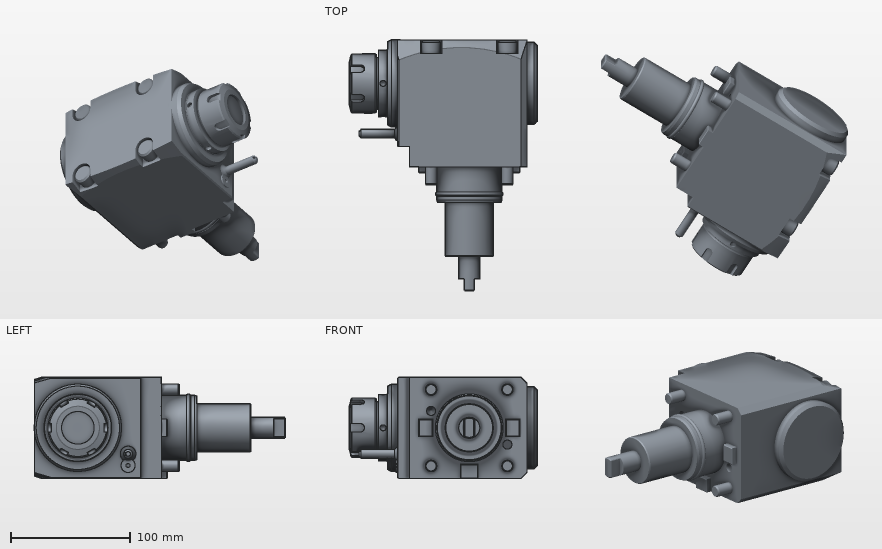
import cadquery as cq


overlap = 2.0

half_height = 42.5
block_left = -60.0
block_right = 48.5
block_back = 106.3
step_x = -50.0
step_y = 16.8
right_chamfer = 5.0
left_chamfer = 1.0
step_chamfer = 0.5
relief_center_x = -7.0
relief_radius = 134.0
relief_apex_y = 100.0
relief_slope = 0.31

axis_y = 69.9
flange_radius = 36.6
flange_front = -68.5
flange_bevel_x = 3.2
flange_bevel_r = 1.7
lip_radius = 28.5
lip_height = 0.6
cap_radius = 34.5
cap_end = 57.0
cap_chamfer = 2.7

collar_radius = 28.0
collar_front = -76.2
collar_back = flange_front - lip_height
neck_radius = 21.9
nut_radius = 25.0
nut_back = -77.9
nut_front = -100.6
nut_back_chamfer_x = 1.3
nut_back_chamfer_r = 0.8
nut_edge_chamfer = 1.0
nut_cone_length = 1.5
nut_face_radius = 18.0
recess_radius = 13.7
recess_depth = 2.5
wrench_slot_count = 6
wrench_slot_width = 7.2
wrench_slot_end = -87.8
wrench_slot_floor = 21.9
pin_hole_count = 4
pin_hole_radius = 2.5
pin_hole_x = -72.2
pin_hole_depth = 3.2
pin_hole_tip = 1.3

pilot_radius = 27.4
pilot_end = -29.9
pilot_chamfer_y = 1.9
groove_start = -21.0
groove_end = -24.8
groove_radius = 25.7
ring_section_radius = 1.7
ring_center_radius = 26.7
shank_radius = 20.2
shank_end = -75.4
shank_chamfer_y = 1.0
edge_chamfer = 0.6
drive_radius = 8.8
drive_end = -93.9
tang_end = -104.0
tang_thickness = 8.6
tang_end_chamfer = 0.8
tang_side_chamfer = 0.5
tang_root_ramp = 0.6

screw_offset = 32.0
screw_radius = 4.8
screw_end = -15.2
screw_chamfer_y = 1.3
head_radius = 8.0
head_end = 105.5
head_chamfer = 1.5
head_seat_y = 95.0
head_slot_width = 18.0

key_width = 14.7
key_length = 12.0
key_height = 5.0
key_side_start = 30.5
key_chamfer = 0.6

locating_hole_radius = 3.8
locating_hole_z = 14.0
locating_hole_depth = 8.5
locating_hole_tip = 3.5

nozzle_y = 27.8
nozzle_z = -21.9
nozzle_radius = 3.8
nozzle_tip = -92.5
nozzle_tip_radius = 1.9
nozzle_base_radius = 6.5
nozzle_base_length = 2.5
spray_hole_radius = 1.3
spray_hole_depth = 3.2
plug_z = -31.5
plug_radius = 5.9
plug_height = 1.3
plug_socket_diameter = 3.5


def turned_along_x(profile, y=axis_y, z=0):
    """Solid of revolution about a line along X; the profile is a list of (x, radius)."""
    points = [(profile[0][0], 0)] + profile + [(profile[-1][0], 0)]
    outline = cq.Workplane("XY").polyline(points).close()
    return outline.revolve(360, (0, 0, 0), (1, 0, 0)).translate((0, y, z))


def turned_along_y(profile, x=0, z=0):
    """Solid of revolution about a line along Y; the profile is a list of (radius, y)."""
    points = [(0, profile[0][1])] + profile + [(0, profile[-1][1])]
    outline = cq.Workplane("XY").polyline(points).close()
    return outline.revolve(360, (0, 0, 0), (0, 1, 0)).translate((x, 0, z))


def drilled_along_y(radius, depth, tip):
    """Drill shape entering Y = 0 in the +Y direction, ending in a cone of the given length."""
    outline = cq.Workplane("XY").polyline([(0, 0), (radius, 0), (radius, depth), (0, depth + tip)]).close()
    return outline.revolve(360, (0, 0, 0), (0, 1, 0))


def box_between(low, high):
    size = [b - a for a, b in zip(low, high)]
    return cq.Workplane("XY").box(*size, centered=False).translate(tuple(low))


def block():
    height = 2 * half_height
    outline = [
        (step_x, 0),
        (block_right, 0),
        (block_right, block_back),
        (block_left, block_back),
        (block_left, step_y),
        (step_x, step_y),
    ]
    body = cq.Workplane("XY").workplane(offset=-half_height).polyline(outline).close().extrude(height)
    body = body.edges("|Y").edges(">X").chamfer(right_chamfer)
    body = body.faces("<X").edges("|Y").chamfer(left_chamfer)
    body = body.faces("<X").edges("<Y").chamfer(step_chamfer)
    return body.intersect(back_relief())


def back_relief():
    """Double cone about an axis along Z whose overlap bevels the top and bottom back edges."""
    mid_radius = relief_radius + half_height / relief_slope
    center_y = relief_apex_y - relief_radius
    outline = [(0, -half_height), (relief_radius, -half_height), (mid_radius, 0),
               (relief_radius, half_height), (0, half_height)]
    cone = cq.Workplane("XZ").polyline(outline).close().revolve(360, (0, 0, 0), (0, 1, 0))
    return cone.translate((relief_center_x, center_y, 0))


def flange():
    return turned_along_x([
        (collar_back, lip_radius),
        (flange_front, lip_radius),
        (flange_front, flange_radius - flange_bevel_r),
        (flange_front + flange_bevel_x, flange_radius),
        (block_left + overlap, flange_radius),
    ])


def end_cap():
    return turned_along_x([
        (block_right - overlap, cap_radius),
        (cap_end - cap_chamfer, cap_radius),
        (cap_end, cap_radius - cap_chamfer),
    ])


def shank():
    turned = turned_along_y([
        (pilot_radius, overlap),
        (pilot_radius, groove_start),
        (groove_radius, groove_start),
        (groove_radius, groove_end),
        (pilot_radius, groove_end),
        (pilot_radius, pilot_end + pilot_chamfer_y),
        (pilot_radius - edge_chamfer, pilot_end),
        (shank_radius, pilot_end),
        (shank_radius, shank_end + shank_chamfer_y),
        (shank_radius - edge_chamfer, shank_end),
        (drive_radius, shank_end),
        (drive_radius, drive_end),
    ])
    ring_y = groove_start - ring_section_radius
    ring = (
        cq.Workplane("XY").center(-ring_center_radius, ring_y).circle(ring_section_radius)
        .revolve(360, (ring_center_radius, 0, 0), (ring_center_radius, 1, 0))
    )
    return turned.union(ring).union(drive_tang())


def drive_tang():
    """Flat-sided tang with bevelled edges, widening where it meets the end of the drive pin."""
    reach = 2 * drive_radius
    half = tang_thickness / 2
    root_y = drive_end + overlap
    round_bar = turned_along_y([(drive_radius, tang_end), (drive_radius, root_y)])
    tang = round_bar.intersect(box_between((-half, tang_end, -reach), (half, root_y, reach)))
    tang = tang.edges("|Y").chamfer(tang_side_chamfer).faces("<Y").chamfer(tang_end_chamfer)
    root_outline = [
        (-half, drive_end - tang_root_ramp),
        (half, drive_end - tang_root_ramp),
        (half + tang_root_ramp, drive_end),
        (-half - tang_root_ramp, drive_end),
    ]
    root = cq.Workplane("XY").polyline(root_outline).close().extrude(reach, both=True)
    return tang.union(root.intersect(round_bar))


def keys():
    side_center = key_side_start + key_length / 2
    side_key = cq.Workplane("XY").box(key_length, key_height + overlap, key_width)
    bottom_key = cq.Workplane("XY").box(key_width, key_height + overlap, key_length)
    center_y = (overlap - key_height) / 2
    side_key = side_key.faces("<Y").chamfer(key_chamfer)
    bottom_key = bottom_key.faces("<Y").chamfer(key_chamfer)
    return [
        side_key.translate((-side_center, center_y, 0)),
        side_key.translate((side_center, center_y, 0)),
        bottom_key.translate((0, center_y, -side_center)),
    ]


def mounting_screw(x, z):
    return turned_along_y([
        (screw_radius - edge_chamfer, screw_end),
        (screw_radius, screw_end + screw_chamfer_y),
        (screw_radius, head_seat_y),
        (head_radius, head_seat_y),
        (head_radius, head_end - head_chamfer),
        (head_radius - head_chamfer, head_end),
    ], x, z)


def head_slot(x, side):
    """U-shaped pocket for a screw head, open to the back and to the top or bottom."""
    depth = block_back - head_seat_y + overlap
    z = side * screw_offset
    round_end = turned_along_y(
        [(head_slot_width / 2, head_seat_y), (head_slot_width / 2, head_seat_y + depth)], x, z
    )
    low_z, high_z = sorted((z, side * (half_height + overlap)))
    opening = box_between(
        (x - head_slot_width / 2, head_seat_y, low_z),
        (x + head_slot_width / 2, head_seat_y + depth, high_z),
    )
    return round_end.union(opening)


def nozzle():
    bevel = nozzle_radius - nozzle_tip_radius
    body = turned_along_x([
        (nozzle_tip, nozzle_tip_radius),
        (nozzle_tip + bevel, nozzle_radius),
        (block_left - nozzle_base_length, nozzle_radius),
        (block_left, nozzle_base_radius),
        (block_left + overlap, nozzle_base_radius),
    ], nozzle_y, nozzle_z)
    bevel_middle = (nozzle_tip + bevel / 2, nozzle_y + nozzle_radius - bevel / 2, nozzle_z)
    inward = cq.Vector(1, -1, 0).normalized()
    start = cq.Vector(*bevel_middle) - inward * overlap
    spray = cq.Solid.makeCylinder(spray_hole_radius, overlap + spray_hole_depth, start, inward)
    return body.cut(cq.Workplane(obj=spray))


def plug_screw():
    face = block_left - plug_height
    body = turned_along_x([(face, plug_radius), (block_left + overlap, plug_radius)], nozzle_y, plug_z)
    socket = cq.Workplane("YZ").polygon(6, plug_socket_diameter).extrude(plug_height)
    socket = socket.rotate((0, 0, 0), (1, 0, 0), 90)
    return body.cut(socket.translate((face, nozzle_y, plug_z)))


def make_housing():
    body = block()
    for side in (-1, 1):
        for x in (-screw_offset, screw_offset):
            body = body.cut(head_slot(x, side))
    for feature in [flange(), end_cap(), shank(), *keys(), plug_screw(), nozzle()]:
        body = body.union(feature)
    for x in (-screw_offset, screw_offset):
        for z in (-screw_offset, screw_offset):
            body = body.union(mounting_screw(x, z))
    return cut_locating_holes(body)


def cut_locating_holes(body):
    """A drilled hole with a conical bottom on the left and a flat-bottomed one on the right."""
    pointed = drilled_along_y(locating_hole_radius, locating_hole_depth, locating_hole_tip)
    body = body.cut(pointed.translate((-screw_offset, 0, locating_hole_z)))
    flat = turned_along_y([(locating_hole_radius, 0), (locating_hole_radius, locating_hole_depth)])
    return body.cut(flat.translate((screw_offset, 0, -locating_hole_z)))


def wrench_slot():
    """Slot cutter at the +Y side of the nut, open to the front, with a round inner end."""
    round_center = wrench_slot_end - wrench_slot_width / 2
    length = round_center - nut_front + overlap
    depth = nut_radius - wrench_slot_floor + overlap
    profile = (
        cq.Workplane("XZ").center(nut_front - overlap + length / 2, 0).rect(length, wrench_slot_width)
        .extrude(-depth)
    )
    end = cq.Workplane("XZ").center(round_center, 0).circle(wrench_slot_width / 2).extrude(-depth)
    return profile.union(end).translate((0, axis_y + wrench_slot_floor, 0))


def pin_hole():
    drill = drilled_along_y(pin_hole_radius, pin_hole_depth, pin_hole_tip)
    return drill.translate((pin_hole_x, axis_y - collar_radius, 0))


def around_spindle(cutter, count):
    start, end = (0, axis_y, 0), (1, axis_y, 0)
    return [cutter.rotate(start, end, i * 360 / count) for i in range(count)]


def make_spindle():
    cone_back = nut_front + nut_cone_length
    body = turned_along_x([
        (nut_front, nut_face_radius),
        (cone_back, nut_radius - nut_edge_chamfer),
        (cone_back + nut_edge_chamfer, nut_radius),
        (nut_back - nut_back_chamfer_x, nut_radius),
        (nut_back, nut_radius - nut_back_chamfer_r),
        (nut_back, neck_radius),
        (collar_front, neck_radius),
        (collar_front, collar_radius),
        (collar_back, collar_radius),
    ])
    recess = turned_along_x([(nut_front, recess_radius), (nut_front + recess_depth, recess_radius)])
    body = body.cut(recess)
    for cutter in around_spindle(wrench_slot(), wrench_slot_count):
        body = body.cut(cutter)
    for cutter in around_spindle(pin_hole(), pin_hole_count):
        body = body.cut(cutter)
    return body


housing = make_housing()
spindle = make_spindle()
result = cq.Compound.makeCompound([housing.val(), spindle.val()])